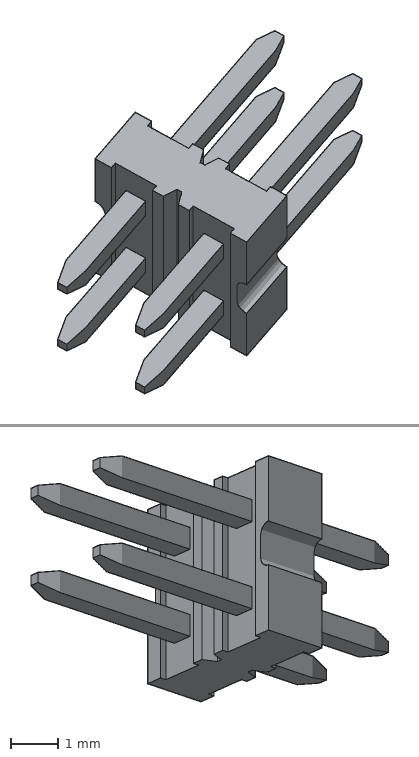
import cadquery as cq
import math

body_width = 3.9
body_depth = 1.5
body_height = 4.0

pin_pitch = body_height / 2
recess_width = 1.05
recess_depth = 0.145

groove_mouth_width = 0.39
groove_floor_width = 0.12
groove_depth = 0.315

notch_height = 1.005
notch_depth = 0.25

pin_length = 8.1
pin_width = 0.5
tip_width = 0.235
tip_length = 0.5
pin_back_reach = 4.0

pin_back_y = body_depth + pin_back_reach
pin_front_y = pin_back_y - pin_length
pin_offsets = (-pin_pitch / 2, pin_pitch / 2)


def make_body():
    """Plain block spanning Y = 0 to body_depth."""
    return cq.Workplane("XY").box(body_width, body_depth, body_height).translate((0, body_depth / 2, 0))


def make_recess(x):
    """Pair of shallow recesses, front and back, centred on a pin column."""
    cutter = cq.Workplane("XY").box(recess_width, 2 * recess_depth, body_height)
    front = cutter.translate((x, 0, 0))
    back = cutter.translate((x, body_depth, 0))
    return front.union(back)


def make_groove(face_y, floor_y):
    """Full-height tapered groove from a face down to its flat floor."""
    half_mouth = groove_mouth_width / 2
    half_floor = groove_floor_width / 2
    outline = [
        (-half_mouth, face_y),
        (-half_floor, floor_y),
        (half_floor, floor_y),
        (half_mouth, face_y),
    ]
    base = cq.Workplane("XY").workplane(offset=-body_height / 2)
    return base.polyline(outline).close().extrude(body_height)


def make_notch(side):
    """Notch through the body depth on one side (-1 or 1), its corner radius equal to its depth."""
    rim_x = side * body_width / 2
    floor_x = rim_x - side * notch_depth
    diagonal_reach = notch_depth / math.sqrt(2)
    arc_mid_x = rim_x - side * diagonal_reach
    half_height = notch_height / 2
    half_flat = half_height - notch_depth
    arc_mid_z = half_flat + diagonal_reach
    return (
        cq.Workplane("XZ")
        .moveTo(rim_x, half_height)
        .threePointArc((arc_mid_x, arc_mid_z), (floor_x, half_flat))
        .lineTo(floor_x, -half_flat)
        .threePointArc((arc_mid_x, -arc_mid_z), (rim_x, -half_height))
        .close()
        .extrude(-body_depth)
    )


def make_pin(x, z):
    """Square pin along Y with a tapered tip at each end."""
    shank_front_y = pin_front_y + tip_length
    shank_length = pin_length - 2 * tip_length
    shank = (
        cq.Workplane("XZ", origin=(x, shank_front_y, z))
        .rect(pin_width, pin_width)
        .extrude(-shank_length)
    )
    pin = shank
    for face in ("<Y", ">Y"):
        tip = (
            shank.faces(face)
            .workplane(centerOption="CenterOfMass")
            .rect(pin_width, pin_width)
            .workplane(offset=tip_length)
            .rect(tip_width, tip_width)
            .loft(combine=False)
        )
        pin = pin.union(tip)
    return pin


result = make_body()
for column_x in pin_offsets:
    result = result.cut(make_recess(column_x))
result = result.cut(make_groove(0, groove_depth))
result = result.cut(make_groove(body_depth, body_depth - groove_depth))
for side in (-1, 1):
    result = result.cut(make_notch(side))
for column_x in pin_offsets:
    for row_z in pin_offsets:
        result = result.union(make_pin(column_x, row_z))